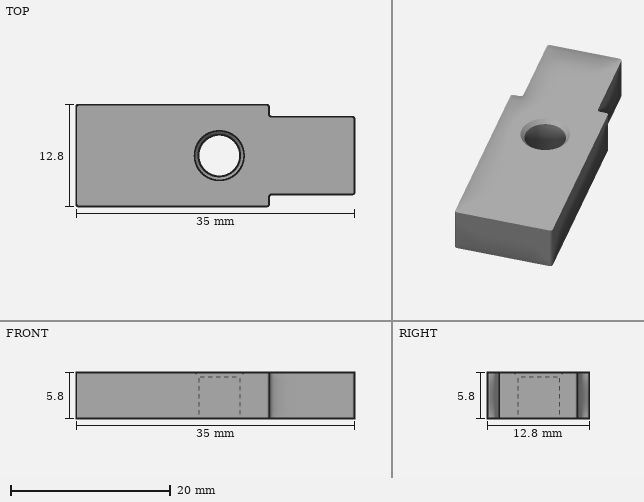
import cadquery as cq

length = 35.0
body_width = 12.8
thickness = 5.8

body_length = 24.25
tongue_width = 9.8
corner_radius = 0.3

hole_x = 18.0
hole_diameter = 5.2
countersink_diameter = 6.23
countersink_angle = 90.0


def make_stepped_block():
    """Wide body with a centred tongue, all upright edges rounded."""
    body = cq.Workplane("XY").box(body_length, body_width, thickness, centered=(False, True, False))
    tongue = cq.Workplane("XY").box(length, tongue_width, thickness, centered=(False, True, False))
    return body.union(tongue).clean().edges("|Z").fillet(corner_radius)


def cut_hole(block):
    """Through hole on the centre line, countersunk from the top face."""
    return (
        block.faces(">Z")
        .workplane(origin=(hole_x, 0, thickness))
        .cskHole(hole_diameter, countersink_diameter, countersink_angle)
    )


result = cut_hole(make_stepped_block())